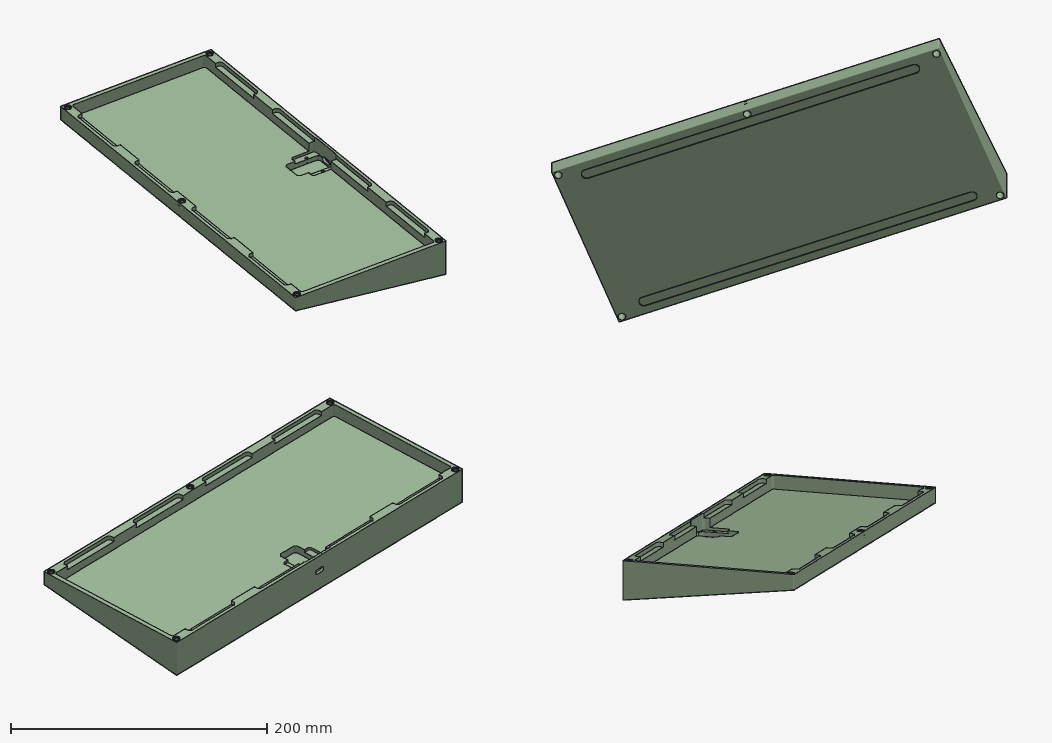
import cadquery as cq
import math

length = 326.0
depth = 142.0
back_height = 31.5
slope_angle = 7.6
edge_radius = 0.5
slope = math.tan(math.radians(slope_angle))
sharp_back_height = back_height + edge_radius * (slope + math.hypot(1, slope) - 1)
front_height = sharp_back_height - depth * slope
front_y = -depth / 2
back_y = depth / 2

side_rim = 4.0
long_rim = 8.0
tray_depth = 11.0
tray_corner_radius = 2.0

relief_count = 4
relief_pitch = 79.0
relief_length = 52.8
relief_depth = 3.5
relief_wall = 3.0
relief_corner_radius = 3.0

screw_inset = long_rim / 2
center_screw_inset = 3.5
screw_hole_diameter = 3.3
screw_bore_diameter = 6.0
screw_bore_ceiling = 3.5
recess_step_height = 0.5
recess_diameters = (6.0, 4.5)

board_width = 30.5
board_back_wall = 2.3
board_front_reach = 25.0
board_step = 2.3
board_floor = tray_depth + board_step
board_corner_radius = 2.3
well_width = 19.0
well_back_wall = 2.5
well_front_reach = 35.0
well_step = 4.2
well_floor = board_floor + well_step
well_corner_radius = 3.0
board_screw_pitch = 23.0
board_screw_reach = 13.0
board_screw_diameter = 2.4
board_screw_depth = 4.0

port_width = 9.0
port_height = 4.2
port_drop = 0.5
port_center_depth = board_floor + port_drop

groove_length = 283.5
groove_width = 7.8
groove_depth = 1.0
groove_inset = 10.8


def pocket(width, y_min, y_max, floor_depth, radius):
    """Upright block with rounded corners, centred on X, from the top down to floor_depth."""
    block = cq.Workplane("XY").box(width, y_max - y_min, floor_depth, centered=(True, False, False))
    return block.edges("|Z").fillet(radius).translate((0, y_min, -floor_depth))


def bore(x, y, diameter, start_depth, end_depth):
    """Vertical cylinder between two depths below the top."""
    start = cq.Workplane("XY", origin=(x, y, -start_depth))
    return start.circle(diameter / 2).extrude(start_depth - end_depth)


def wedge():
    profile = [(front_y, 0), (back_y, 0), (back_y, -sharp_back_height), (front_y, -front_height)]
    block = cq.Workplane("YZ").polyline(profile).close().extrude(length / 2, both=True)
    return block.edges("not >Z").fillet(edge_radius)


def cut_tray(body):
    return body.cut(
        pocket(length - 2 * side_rim, front_y + long_rim, back_y - long_rim, tray_depth, tray_corner_radius)
    )


def cut_reliefs(body):
    relief = pocket(
        relief_length, front_y + relief_wall, back_y - relief_wall, relief_depth, relief_corner_radius
    )
    first_x = -(relief_count - 1) / 2 * relief_pitch
    for i in range(relief_count):
        body = body.cut(relief.translate((first_x + i * relief_pitch, 0, 0)))
    return body


def cut_case_screws(body):
    screw_x = length / 2 - screw_inset
    screw_y = depth / 2 - screw_inset
    spots = [(x, y) for x in (-screw_x, screw_x) for y in (-screw_y, screw_y)]
    spots.append((0, front_y + center_screw_inset))
    for x, y in spots:
        body = body.cut(bore(x, y, screw_hole_diameter, 0, back_height))
        body = body.cut(bore(x, y, screw_bore_diameter, screw_bore_ceiling, back_height))
        for step, diameter in enumerate(recess_diameters, start=1):
            body = body.cut(bore(x, y, diameter, 0, step * recess_step_height))
    return body


def cut_board_pocket(body):
    board_front = back_y - board_front_reach
    board_back = back_y - board_back_wall
    body = body.cut(pocket(board_width, board_front, board_back, board_floor, board_corner_radius))
    well_front = back_y - well_front_reach
    well_back = back_y - well_back_wall
    body = body.cut(pocket(well_width, well_front, well_back, well_floor, well_corner_radius))
    for x in (-board_screw_pitch / 2, board_screw_pitch / 2):
        y = back_y - board_screw_reach
        body = body.cut(bore(x, y, board_screw_diameter, board_floor, board_floor + board_screw_depth))
    return body


def cut_port(body):
    wall = cq.Workplane("XZ", origin=(0, back_y, -port_center_depth))
    return body.cut(wall.slot2D(port_width, port_height).extrude(well_back_wall))


def cut_foot_grooves(body):
    groove = cq.Workplane("XY").slot2D(groove_length, groove_width).extrude(groove_depth)
    groove = groove.rotate((0, 0, 0), (1, 0, 0), -slope_angle)
    for y in (front_y + groove_inset, back_y - groove_inset):
        underside_z = -front_height - slope * (y - front_y)
        body = body.cut(groove.translate((0, y, underside_z)))
    return body


result = wedge()
result = cut_tray(result)
result = cut_reliefs(result)
result = cut_case_screws(result)
result = cut_board_pocket(result)
result = cut_port(result)
result = cut_foot_grooves(result)